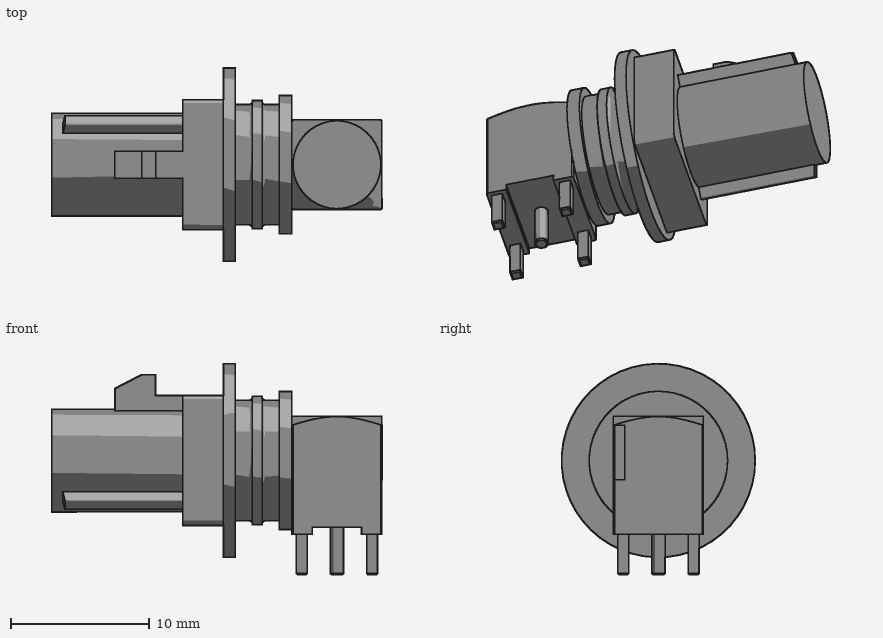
import cadquery as cq
import math


BLOCK_FRONT = 9.46
FLANGE_FRONT = 12.41
FLANGE_BACK = 13.27
BEAD_FRONT = 14.5
BEAD_BACK = 15.21
COLLAR_FRONT = 16.43
COLLAR_BACK = 17.36

BARREL_RADIUS = 3.72
FLANGE_RADIUS = 7.0
NECK_RADIUS = 4.36
BEAD_RADIUS = 4.65
BEAD_FILLET = 0.22
COLLAR_RADIUS = 5.0
BLOCK_WIDTH = 9.42
BLOCK_CORNER_RADIUS = 0.5

TAB_WIDTH = 1.96
TAB_FRONT = 4.57
TAB_RAMP_END = 6.5
TAB_BACK = 7.51
TAB_NOSE_Z = 5.2
TAB_TOP_Z = 6.2

RIB_ANGLE = 45
RIB_WIDTH = 0.95
RIB_OUTER_RADIUS = 4.58
RIB_EDGE_RADIUS = 0.13
RIB_FRONT_ROOT = 0.82
RIB_FRONT_TIP = 0.98

BODY_WIDTH = 6.5
BODY_CENTER_X = COLLAR_BACK + BODY_WIDTH / 2
BODY_TOP_Z = 3.21
BODY_BOTTOM_Z = -5.34
BODY_EDGE_CHAMFER = 0.1
TOP_FACE_RADIUS = 3.17
TOP_CONE_ANGLE = 25
STANDOFF_HEIGHT = 0.51
STANDOFF_GAP = 3.54

PAD_BACK = 23.9
PAD_Y_MIN = -3.16
PAD_Y_MAX = -2.44
PAD_Z_MIN = -1.4
PAD_Z_MAX = 2.56

LEG_PITCH = 5.08
LEG_WIDTH = 0.8
PIN_DIAMETER = 0.98
PIN_END_Z = -8.24
PIN_TIP_CHAMFER = 0.1


def make_turned_core():
    """Barrel, flange, beaded neck and collar as one revolved profile."""
    arc_mid = BEAD_FILLET * math.sqrt(0.5)
    fillet_top = NECK_RADIUS + BEAD_FILLET
    arc_mid_radius = fillet_top - arc_mid
    fillet_start = BEAD_FRONT - BEAD_FILLET
    fillet_end = BEAD_BACK + BEAD_FILLET
    profile = (
        cq.Workplane("XY")
        .lineTo(0, BARREL_RADIUS)
        .lineTo(FLANGE_FRONT, BARREL_RADIUS)
        .lineTo(FLANGE_FRONT, FLANGE_RADIUS)
        .lineTo(FLANGE_BACK, FLANGE_RADIUS)
        .lineTo(FLANGE_BACK, NECK_RADIUS)
        .lineTo(fillet_start, NECK_RADIUS)
        .threePointArc((fillet_start + arc_mid, arc_mid_radius), (BEAD_FRONT, fillet_top))
        .lineTo(BEAD_FRONT, BEAD_RADIUS)
        .lineTo(BEAD_BACK, BEAD_RADIUS)
        .lineTo(BEAD_BACK, fillet_top)
        .threePointArc((fillet_end - arc_mid, arc_mid_radius), (fillet_end, NECK_RADIUS))
        .lineTo(COLLAR_FRONT, NECK_RADIUS)
        .lineTo(COLLAR_FRONT, COLLAR_RADIUS)
        .lineTo(COLLAR_BACK, COLLAR_RADIUS)
        .lineTo(COLLAR_BACK, 0)
        .close()
    )
    return profile.revolve(360, (0, 0, 0), (1, 0, 0))


def make_block():
    """Square block with rounded edges in front of the flange."""
    return (
        cq.Workplane("YZ", origin=(BLOCK_FRONT, 0, 0))
        .rect(BLOCK_WIDTH, BLOCK_WIDTH)
        .extrude(FLANGE_FRONT - BLOCK_FRONT)
        .edges("|X")
        .fillet(BLOCK_CORNER_RADIUS)
    )


def make_latch_tab():
    """Ramped tab whose lower tail runs back to the block, level with its top."""
    block_top_z = BLOCK_WIDTH / 2
    return (
        cq.Workplane("XZ")
        .moveTo(TAB_FRONT, 0)
        .lineTo(TAB_FRONT, TAB_NOSE_Z)
        .lineTo(TAB_RAMP_END, TAB_TOP_Z)
        .lineTo(TAB_BACK, TAB_TOP_Z)
        .lineTo(TAB_BACK, block_top_z)
        .lineTo(BLOCK_FRONT, block_top_z)
        .lineTo(BLOCK_FRONT, 0)
        .close()
        .extrude(TAB_WIDTH / 2, both=True)
    )


def make_rib(angle):
    """Keying rib with a sloped front end, turned about the barrel axis."""
    return (
        cq.Workplane("XZ")
        .moveTo(RIB_FRONT_ROOT, 0)
        .lineTo(RIB_FRONT_ROOT, BARREL_RADIUS)
        .lineTo(RIB_FRONT_TIP, RIB_OUTER_RADIUS)
        .lineTo(BLOCK_FRONT, RIB_OUTER_RADIUS)
        .lineTo(BLOCK_FRONT, 0)
        .close()
        .extrude(RIB_WIDTH / 2, both=True)
        .faces(">Z")
        .edges("|X")
        .fillet(RIB_EDGE_RADIUS)
        .rotate((0, 0, 0), (1, 0, 0), angle)
    )


def make_body():
    """Square body with a conically relieved top and a channel across the bottom."""
    height = BODY_TOP_Z - BODY_BOTTOM_Z
    body = (
        cq.Workplane("XY", origin=(BODY_CENTER_X, 0, BODY_BOTTOM_Z))
        .rect(BODY_WIDTH, BODY_WIDTH)
        .extrude(height)
        .edges("|Z")
        .chamfer(BODY_EDGE_CHAMFER)
    )
    cone_radius = BODY_WIDTH * math.sqrt(0.5)
    cone_drop = (cone_radius - TOP_FACE_RADIUS) * math.tan(math.radians(TOP_CONE_ANGLE))
    envelope = (
        cq.Workplane("XZ", origin=(BODY_CENTER_X, 0, BODY_BOTTOM_Z))
        .lineTo(cone_radius, 0)
        .lineTo(cone_radius, height - cone_drop)
        .lineTo(TOP_FACE_RADIUS, height)
        .lineTo(0, height)
        .close()
        .revolve(360, (0, 0, 0), (0, 1, 0))
    )
    channel = (
        cq.Workplane("XY", origin=(BODY_CENTER_X, 0, BODY_BOTTOM_Z))
        .rect(STANDOFF_GAP, BODY_WIDTH)
        .extrude(STANDOFF_HEIGHT)
    )
    return body.intersect(envelope).cut(channel)


def make_pad():
    """Thin raised pad on the rear face of the body."""
    return cq.Workplane("XY").box(
        PAD_BACK - BODY_CENTER_X,
        PAD_Y_MAX - PAD_Y_MIN,
        PAD_Z_MAX - PAD_Z_MIN,
        centered=False,
    ).translate((BODY_CENTER_X, PAD_Y_MIN, PAD_Z_MIN))


def make_legs():
    """Four square board legs, one under each corner of the body."""
    return (
        cq.Workplane("XY", origin=(BODY_CENTER_X, 0, PIN_END_Z))
        .rect(LEG_PITCH, LEG_PITCH, forConstruction=True)
        .vertices()
        .rect(LEG_WIDTH, LEG_WIDTH)
        .extrude(-PIN_END_Z)
        .faces("<Z")
        .chamfer(PIN_TIP_CHAMFER)
    )


def make_signal_pin():
    """Round pin under the centre of the body."""
    return (
        cq.Workplane("XY", origin=(BODY_CENTER_X, 0, PIN_END_Z))
        .circle(PIN_DIAMETER / 2)
        .extrude(-PIN_END_Z)
        .faces("<Z")
        .chamfer(PIN_TIP_CHAMFER)
    )


result = make_turned_core().union(make_block()).union(make_latch_tab())
for rib_angle in (-RIB_ANGLE, 180 - RIB_ANGLE):
    result = result.union(make_rib(rib_angle))
result = result.union(make_body()).union(make_pad()).union(make_legs()).union(make_signal_pin())